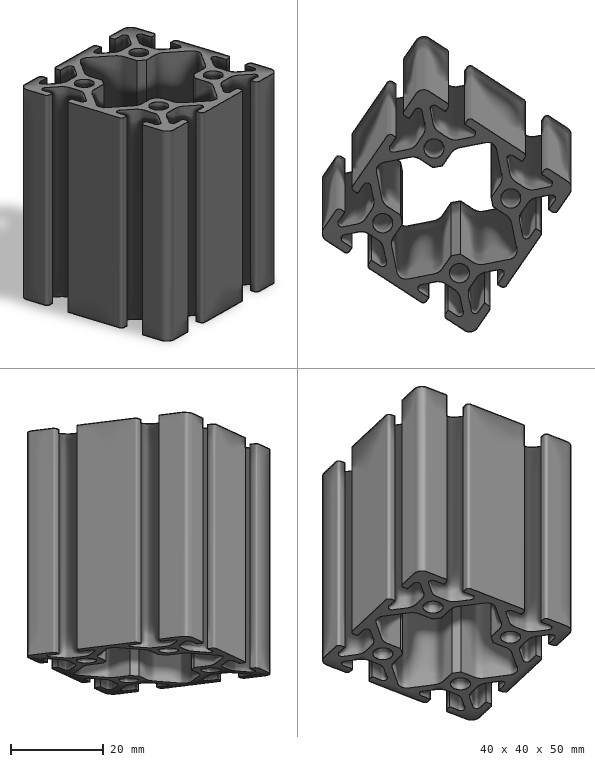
import cadquery as cq
import math

length = 50.0
side = 40.0
half = side / 2
corner_radius = 2.0

core_offset = 10.0
core_half = 3.65
core_chamfer = 1.45
core_bore = 4.3

slot_mouth = 5.0
lip_thickness = 1.8
lip_radius = 0.8
slot_tip_radius = 0.85

web_thickness = 1.8
root_radius = 3.0
apex_radius = 2.0

web_reach = web_thickness / 2 * math.sqrt(2)


def round_edges_at(solid, points, radius):
    """Fillet the lengthwise edges that pass through the given (x, y) points."""

    def is_chosen(edge):
        center = edge.Center()
        return any(math.hypot(center.x - x, center.y - y) < 0.005 for x, y in points)

    return solid.edges("|Z").filter(is_chosen).fillet(radius)


def quarter_turns(x, y):
    """The four (x, y) positions found by turning one point about the axis."""
    return [(x, y), (-y, x), (-x, -y), (y, -x)]


def make_slot():
    """T-slot on the -Y side, centred on X = 0, with its core centre at Y = -core_offset."""
    mouth = slot_mouth / 2
    lip_y = -half + lip_thickness
    floor_y = -core_offset - core_half
    tip_x = -core_offset - lip_y - web_reach
    floor_x = core_half - web_reach
    right = [(mouth, -half), (mouth, lip_y), (tip_x, lip_y), (floor_x, floor_y)]
    left = [(-x, y) for x, y in reversed(right)]
    slot = cq.Workplane("XY").polyline(right + left).close().extrude(length)
    slot = round_edges_at(slot, [(-tip_x, lip_y), (tip_x, lip_y)], slot_tip_radius)
    return round_edges_at(slot, [(-floor_x, floor_y), (floor_x, floor_y)], root_radius)


def make_void():
    """Central cavity: a diamond whose sides are notched by the four cores."""
    apex = 2 * core_offset - web_reach
    core_face = core_offset - core_half
    root = apex - core_face
    chamfered = core_face + core_chamfer
    outline = []
    for turn in range(4):
        quadrant = [
            (apex, 0),
            (root, core_face),
            (chamfered, core_face),
            (core_face, chamfered),
            (core_face, root),
        ]
        outline += [quarter_turns(x, y)[turn] for x, y in quadrant]
    void = cq.Workplane("XY").polyline(outline).close().extrude(length)
    void = round_edges_at(void, quarter_turns(apex, 0), apex_radius)
    roots = quarter_turns(root, core_face) + quarter_turns(core_face, root)
    return round_edges_at(void, roots, root_radius)


body = cq.Workplane("XY").rect(side, side).extrude(length)
body = body.edges("|Z").fillet(corner_radius)

slot = make_slot()
for turn in range(4):
    for slot_x in (-core_offset, core_offset):
        placed = slot.translate((slot_x, 0, 0)).rotate((0, 0, 0), (0, 0, 1), 90 * turn)
        body = body.cut(placed)

lip_edges = []
for slot_x in (-core_offset, core_offset):
    for mouth_x in (-slot_mouth / 2, slot_mouth / 2):
        lip_edges += quarter_turns(slot_x + mouth_x, -half)
body = round_edges_at(body, lip_edges, lip_radius)

body = body.cut(make_void())
bores = cq.Workplane("XY").pushPoints(quarter_turns(core_offset, core_offset))
result = body.cut(bores.circle(core_bore / 2).extrude(length))